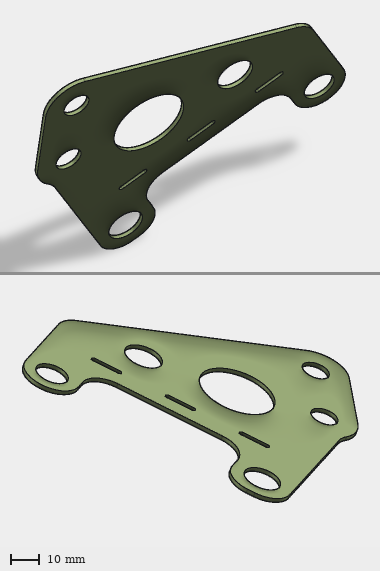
import cadquery as cq
import math


THICKNESS = 1.65
TILT = math.radians(21.25)
LEFT_LUG_Y = 51.57
LEFT_LUG_Z = -12.35

LEFT_LUG = (0.0, 0.0)
RIGHT_LUG = (83.5, 0.0)
UPPER_MOUNT = (71.24, 86.08)
SIDE_MOUNT = (85.03, 59.45)
MAIN_BORE = (54.93, 47.74)
SIDE_BORE = (20.69, 40.09)

LEFT_LUG_HOLE_D = 12.0
RIGHT_LUG_HOLE_D = 13.5
MOUNT_HOLE_D = 10.0
MAIN_BORE_D = 28.0
SIDE_BORE_D = 14.0

SLOT_COUNT = 3
SLOT_PITCH = 29.37
SLOT_LENGTH = 11.8
SLOT_WIDTH = 2.0
MIDDLE_SLOT = (42.26, 22.34)

CORNER_R = 10.0
LEFT_LUG_R = 10.5
MOUNT_R = 12.5
RIGHT_LUG_HALF_FLAT = 1.45
RIGHT_LUG_CORNER_V = -1.42
WEB_EDGE_V = 14.5
SHOULDER_V = 33.72

CONVEX = 1
CONCAVE = -1


def outline_rounds():
    """Rounds of the outline in clockwise order: (centre, radius, sense)."""
    left_face = -LEFT_LUG_R
    left_lug_inner_face = LEFT_LUG_R
    right_lug_half_width = RIGHT_LUG_HALF_FLAT + CORNER_R
    right_lug_inner_face = RIGHT_LUG[0] - right_lug_half_width
    right_face = RIGHT_LUG[0] + right_lug_half_width
    fillet_v = WEB_EDGE_V - CORNER_R

    waist_u = right_face + CORNER_R
    waist_drop = math.sqrt((MOUNT_R + CORNER_R) ** 2 - (waist_u - SIDE_MOUNT[0]) ** 2)
    waist = (waist_u, SIDE_MOUNT[1] - waist_drop)

    lug_corner_right = (RIGHT_LUG[0] + RIGHT_LUG_HALF_FLAT, RIGHT_LUG_CORNER_V)
    lug_corner_left = (RIGHT_LUG[0] - RIGHT_LUG_HALF_FLAT, RIGHT_LUG_CORNER_V)
    return [
        (UPPER_MOUNT, MOUNT_R, CONVEX),
        (SIDE_MOUNT, MOUNT_R, CONVEX),
        (waist, CORNER_R, CONCAVE),
        (lug_corner_right, CORNER_R, CONVEX),
        (lug_corner_left, CORNER_R, CONVEX),
        ((right_lug_inner_face - CORNER_R, fillet_v), CORNER_R, CONCAVE),
        ((left_lug_inner_face + CORNER_R, fillet_v), CORNER_R, CONCAVE),
        (LEFT_LUG, LEFT_LUG_R, CONVEX),
        ((left_face + CORNER_R, SHOULDER_V), CORNER_R, CONVEX),
    ]


def point_on(center, radius, angle):
    return (center[0] + radius * math.cos(angle), center[1] + radius * math.sin(angle))


def tangent_line(first, second):
    """End points of the line that leaves the first round and meets the second."""
    (u1, v1), radius1, sense1 = first
    (u2, v2), radius2, sense2 = second
    distance = math.hypot(u2 - u1, v2 - v1)
    offset_ratio = (sense1 * radius1 - sense2 * radius2) / distance
    offset_ratio = max(-1.0, min(1.0, offset_ratio))
    normal_angle = math.atan2(v2 - v1, u2 - u1) + math.acos(offset_ratio)
    start = point_on((u1, v1), sense1 * radius1, normal_angle)
    end = point_on((u2, v2), sense2 * radius2, normal_angle)
    return start, end


def arc_middle(center, radius, sense, start, end):
    """Middle of the arc: convex rounds run clockwise, concave ones the other way."""
    start_angle = math.atan2(start[1] - center[1], start[0] - center[0])
    end_angle = math.atan2(end[1] - center[1], end[0] - center[0])
    sweep = (sense * (start_angle - end_angle)) % (2 * math.pi)
    return point_on(center, radius, start_angle - sense * sweep / 2)


def rounded_profile(plane, rounds):
    """Closed outline of tangent lines and arcs running around the rounds."""
    shortest_line = 1e-3
    previous_rounds = rounds[-1:] + rounds[:-1]
    lines_in = [tangent_line(a, b) for a, b in zip(previous_rounds, rounds)]
    lines_out = lines_in[1:] + lines_in[:1]

    profile = cq.Workplane(plane).moveTo(*lines_in[0][1])
    for (center, radius, sense), line_in, line_out in zip(rounds, lines_in, lines_out):
        arc_start = line_in[1]
        arc_end, next_start = line_out
        middle = arc_middle(center, radius, sense, arc_start, arc_end)
        profile = profile.threePointArc(middle, arc_end)
        if math.dist(arc_end, next_start) > shortest_line:
            profile = profile.lineTo(*next_start)
    return profile.close()


def cut_holes(plate, plane):
    holes = [
        (LEFT_LUG, LEFT_LUG_HOLE_D),
        (RIGHT_LUG, RIGHT_LUG_HOLE_D),
        (UPPER_MOUNT, MOUNT_HOLE_D),
        (SIDE_MOUNT, MOUNT_HOLE_D),
        (MAIN_BORE, MAIN_BORE_D),
        (SIDE_BORE, SIDE_BORE_D),
    ]
    for center, diameter in holes:
        hole = cq.Workplane(plane).center(*center).circle(diameter / 2).extrude(THICKNESS)
        plate = plate.cut(hole)
    return plate


def cut_slots(plate, plane):
    slots = (
        cq.Workplane(plane)
        .center(*MIDDLE_SLOT)
        .rarray(SLOT_PITCH, 1, SLOT_COUNT, 1)
        .slot2D(SLOT_LENGTH, SLOT_WIDTH)
        .extrude(THICKNESS)
    )
    return plate.cut(slots)


layout = cq.Plane(
    origin=(THICKNESS / 2, LEFT_LUG_Y, LEFT_LUG_Z),
    xDir=(0, -math.cos(TILT), -math.sin(TILT)),
    normal=(-1, 0, 0),
)

blank = rounded_profile(layout, outline_rounds()).extrude(THICKNESS)
result = cut_slots(cut_holes(blank, layout), layout)